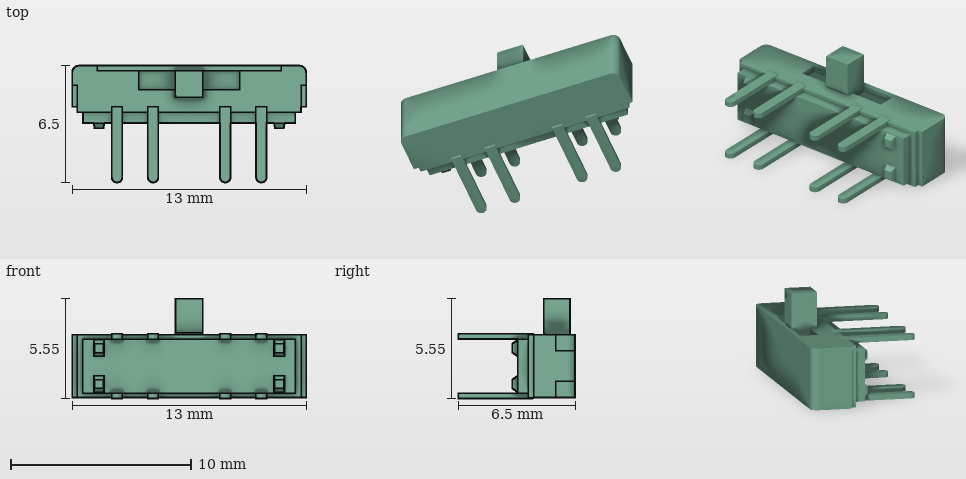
import cadquery as cq


SHELL_WIDTH = 13.0
SHELL_DEPTH = 2.3
SHELL_THICKNESS = 0.29
SHELL_CORNER_RADIUS = 0.4
CASE_HEIGHT = 3.5

WINDOW_SPACING = 10.22
WINDOW_HEIGHT = 0.9
WINDOW_DEPTH = 1.09

CORE_FRONT = 2.6
CORE_WIDTH = SHELL_WIDTH - 2 * SHELL_THICKNESS
CORE_CORNER_RADIUS = SHELL_CORNER_RADIUS - SHELL_THICKNESS
BOSS_FRONT = 3.2
BOSS_WIDTH = 11.8
BOSS_HEIGHT = 3.0

SLOT_LENGTH = 5.6
SLOT_FRONT = 1.35
SLOT_DEPTH = 0.4
KNOB_WIDTH = 1.53
KNOB_FRONT = 1.75
KNOB_HEIGHT = 2.0
KNOB_CHAMFER_HEIGHT = 0.1
KNOB_CHAMFER_DEPTH = 0.06

NUB_LENGTH = 0.3
NUB_BASE_WIDTH = 0.6
NUB_BASE_HEIGHT = 0.91
NUB_TIP_SIZE = 0.5
NUB_SPACING_X = 10.01
NUB_SPACING_Z = 1.99

PIN_TIP = 6.5
PIN_WIDTH = 0.6
PIN_PROUD = 0.05
PIN_BEND_RADIUS = 0.13
PIN_BACK = 2.28
PIN_PITCH = 2.0
PIN_STATIONS = (-2, -1, 1, 2)

CASE_TOP = CASE_HEIGHT / 2
PIN_TOP = CASE_TOP + PIN_PROUD
PIN_THICKNESS = PIN_TOP - BOSS_HEIGHT / 2


def block(width, back, front, bottom, top):
    """Box centred on X = 0; back and front are distances from the back of the switch."""
    return (
        cq.Workplane("XY")
        .box(width, front - back, top - bottom, centered=(True, False, False))
        .translate((0, -front, bottom))
    )


def case_block(width, back, front, corner_radius):
    """Full-height block with its two upright back edges rounded."""
    return block(width, back, front, -CASE_TOP, CASE_TOP).edges("|Z and >Y").fillet(corner_radius)


def make_windows():
    """The four corner volumes cut out of the shell."""
    length = (SHELL_WIDTH - WINDOW_SPACING) / 2
    x_middle = (SHELL_WIDTH + WINDOW_SPACING) / 4
    upper = block(length, 0, WINDOW_DEPTH, CASE_TOP - WINDOW_HEIGHT, CASE_TOP)
    lower = block(length, 0, WINDOW_DEPTH, -CASE_TOP, WINDOW_HEIGHT - CASE_TOP)
    windows = cq.Workplane("XY")
    for x in (-x_middle, x_middle):
        windows = windows.add(upper.translate((x, 0, 0))).add(lower.translate((x, 0, 0)))
    return windows.combine()


def make_knob():
    """Knob with a stem in the slot and an overhang, chamfered underneath, in front of the slot."""
    top = CASE_TOP + KNOB_HEIGHT
    return (
        cq.Workplane("YZ")
        .moveTo(-SHELL_THICKNESS, top)
        .lineTo(-KNOB_FRONT, top)
        .lineTo(-KNOB_FRONT, CASE_TOP + KNOB_CHAMFER_HEIGHT)
        .lineTo(-KNOB_FRONT + KNOB_CHAMFER_DEPTH, CASE_TOP)
        .lineTo(-SLOT_FRONT, CASE_TOP)
        .lineTo(-SLOT_FRONT, CASE_TOP - SLOT_DEPTH)
        .lineTo(-SHELL_THICKNESS, CASE_TOP - SLOT_DEPTH)
        .close()
        .extrude(KNOB_WIDTH / 2, both=True)
    )


def make_nub():
    """Tapered nub at the middle of the boss front."""
    return (
        cq.Workplane("XZ", origin=(0, -BOSS_FRONT, 0))
        .rect(NUB_BASE_WIDTH, NUB_BASE_HEIGHT)
        .workplane(offset=NUB_LENGTH)
        .rect(NUB_TIP_SIZE, NUB_TIP_SIZE)
        .loft(ruled=True)
    )


def make_pin():
    """Top-row pin at X = 0: round tip, bend radius at the back where it leaves the body."""
    tip_radius = PIN_WIDTH / 2
    shoulder = PIN_TIP - tip_radius
    return (
        cq.Workplane("XY", origin=(0, 0, PIN_TOP - PIN_THICKNESS))
        .moveTo(-tip_radius, -PIN_BACK)
        .lineTo(-tip_radius, -shoulder)
        .threePointArc((0, -PIN_TIP), (tip_radius, -shoulder))
        .lineTo(tip_radius, -PIN_BACK)
        .close()
        .extrude(PIN_THICKNESS)
        .edges(">Y and >Z")
        .fillet(PIN_BEND_RADIUS)
    )


def make_shell(envelope, core, windows):
    """Bent sheet around the back and sides of the moulding, open at the corner windows."""
    return envelope.cut(core).cut(windows)


def make_switch_body(envelope, core, windows):
    """Moulding with boss, slot, knob, nubs and both rows of pins."""
    body = core.union(envelope.intersect(windows))
    body = body.union(block(BOSS_WIDTH, CORE_FRONT, BOSS_FRONT, -BOSS_HEIGHT / 2, BOSS_HEIGHT / 2))
    body = body.cut(block(SLOT_LENGTH, SHELL_THICKNESS, SLOT_FRONT, CASE_TOP - SLOT_DEPTH, CASE_TOP))
    body = body.union(make_knob())

    nub = make_nub()
    for x in (-NUB_SPACING_X / 2, NUB_SPACING_X / 2):
        for z in (-NUB_SPACING_Z / 2, NUB_SPACING_Z / 2):
            body = body.union(nub.translate((x, 0, z)))

    top_pin = make_pin()
    bottom_pin = top_pin.mirror("XY")
    for station in PIN_STATIONS:
        x = station * PIN_PITCH
        body = body.union(top_pin.translate((x, 0, 0))).union(bottom_pin.translate((x, 0, 0)))
    return body


envelope = case_block(SHELL_WIDTH, 0, SHELL_DEPTH, SHELL_CORNER_RADIUS)
core = case_block(CORE_WIDTH, SHELL_THICKNESS, CORE_FRONT, CORE_CORNER_RADIUS)
windows = make_windows()

shell = make_shell(envelope, core, windows)
switch_body = make_switch_body(envelope, core, windows)

result = cq.Compound.makeCompound([*shell.solids().vals(), *switch_body.solids().vals()])